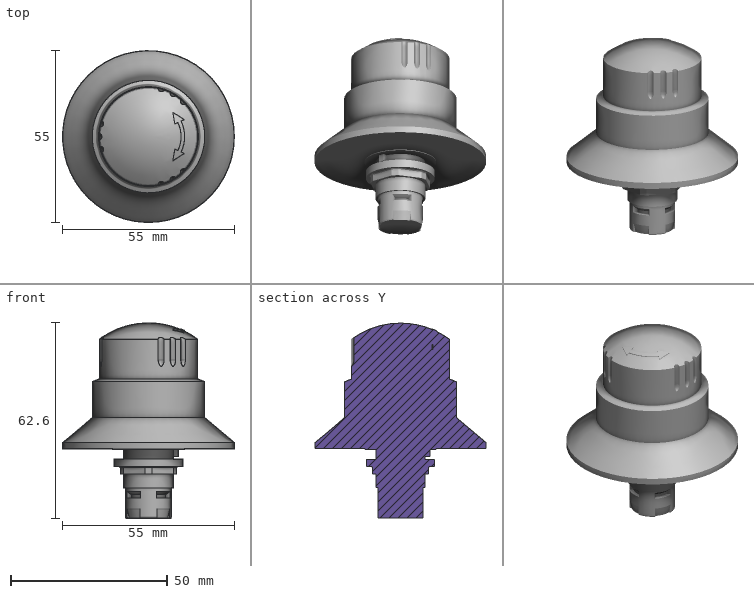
import cadquery as cq
import math

flange_top = 2.0
cone_top = 10.0
collar_bevel_start = 21.5
collar_top = 22.35
knob_edge = 35.1
dome_height = 5.05
gasket_bottom = -0.2
washer_top = -3.25
washer_bottom = -5.7
nut_bottom = -8.1
barrel_bottom = -12.5
tail_bottom = -22.2

flange_dia = 55.0
collar_dia = 36.0
collar_rim_dia = 32.0
knob_dia = 31.5
gasket_dia = 23.0
washer_dia = 22.0
barrel_dia = 16.0
tail_dia = 14.65
tail_core_dia = 12.1

knob_edge_width = 0.3
knob_edge_height = 0.2
tail_chamfer_width = 0.1
tail_chamfer_height = 0.36

nut_across_flats = 18.0
nut_across_cut_corners = 19.56
nut_flare_height = 0.3
nut_flare_angle = 45.0

key_reach = 9.54
key_width = 2.0
key_bottom = -2.45

groove_radius = 1.02
groove_axis_offset = 0.19
groove_length = 6.6
groove_tip_length = 2.3
groove_group_angles = (60, 180, 300)
groove_pitch_angle = 15

arrow_radius = 11.0
arrow_shaft_width = 1.13
arrow_head_width = 3.3
arrow_head_base_angle = 25.4
arrow_tip_angle = 45.0
arrow_height = 0.2

quadrant_angles = (0, 90, 180, 270)
slot_top = -13.55
slot_bottom = -15.65
slot_wall_offset = 2.55
slot_ceiling_drop = 1.1
notch_top = -19.2
notch_wall_offset = 2.7
notch_foot_radius = 6.7

dome_rim_radius = knob_dia / 2 - knob_edge_width
dome_rim_z = knob_edge + knob_edge_height
dome_top = dome_rim_z + dome_height
dome_sphere_radius = (dome_rim_radius**2 + dome_height**2) / (2 * dome_height)
dome_center_z = dome_top - dome_sphere_radius


def polar(radius, angle):
    """Point in the XY plane at a radius and an angle in degrees."""
    turn = math.radians(angle)
    return (radius * math.cos(turn), radius * math.sin(turn))


def ring_arc(sketch, radius, end_angle):
    """Continue an outline with an arc about Z that crosses +X and ends at end_angle."""
    return sketch.threePointArc((radius, 0), polar(radius, end_angle))


def turned_body():
    """Knob, collar, flange, gasket, washer, barrel and tail as one revolved outline."""
    dome_mid_radius = dome_rim_radius / 2
    dome_mid_z = dome_center_z + math.sqrt(dome_sphere_radius**2 - dome_mid_radius**2)
    tail_radius = tail_dia / 2
    outline = (
        cq.Workplane("XZ")
        .moveTo(0, tail_bottom)
        .lineTo(tail_radius - tail_chamfer_width, tail_bottom)
        .lineTo(tail_radius, tail_bottom + tail_chamfer_height)
        .lineTo(tail_radius, barrel_bottom)
        .lineTo(barrel_dia / 2, barrel_bottom)
        .lineTo(barrel_dia / 2, washer_bottom)
        .lineTo(washer_dia / 2, washer_bottom)
        .lineTo(washer_dia / 2, washer_top)
        .lineTo(barrel_dia / 2, washer_top)
        .lineTo(barrel_dia / 2, gasket_bottom)
        .lineTo(gasket_dia / 2, gasket_bottom)
        .lineTo(gasket_dia / 2, 0)
        .lineTo(flange_dia / 2, 0)
        .lineTo(flange_dia / 2, flange_top)
        .lineTo(collar_dia / 2, cone_top)
        .lineTo(collar_dia / 2, collar_bevel_start)
        .lineTo(collar_rim_dia / 2, collar_top)
        .lineTo(knob_dia / 2, collar_top)
        .lineTo(knob_dia / 2, knob_edge)
        .lineTo(dome_rim_radius, dome_rim_z)
        .threePointArc((dome_mid_radius, dome_mid_z), (0, dome_top))
        .close()
    )
    return outline.revolve(360, (0, 0, 0), (0, 1, 0))


def hexagon(across_flats, first_corner_angle, bottom, height, taper=0.0):
    """Hexagonal prism about Z."""
    corner_radius = across_flats / 2 / math.cos(math.pi / 6)
    corners = [polar(corner_radius, first_corner_angle + 60 * i) for i in range(6)]
    return cq.Workplane("XY").workplane(offset=bottom).polyline(corners).close().extrude(height, taper=taper)


def nut():
    """Hexagonal nut with flat-cut corners that flares out just under the washer."""
    height = washer_bottom - nut_bottom
    straight_height = height - nut_flare_height

    def stage(bottom, stage_height, taper):
        flats = hexagon(nut_across_flats, 30, bottom, stage_height, taper)
        corner_cuts = hexagon(nut_across_cut_corners, 0, bottom, stage_height, taper)
        return flats.intersect(corner_cuts)

    straight = stage(nut_bottom, straight_height, 0)
    flare = stage(nut_bottom + straight_height, nut_flare_height, -nut_flare_angle)
    return straight.union(flare)


def locating_key():
    """Block on the +X side of the barrel, hanging from the gasket."""
    block = cq.Workplane("XY").box(key_reach, key_width, -key_bottom, centered=(False, True, False))
    return block.translate((0, 0, key_bottom))


def grip_groove(angle):
    """Cutter for one round groove, open at the dome and pointed at its lower end."""
    shoulder_z = knob_edge - groove_length
    tip_z = shoulder_z - groove_tip_length
    ogive_radius = (groove_radius**2 + groove_tip_length**2) / (2 * groove_radius)
    ogive_half_angle = math.asin(groove_tip_length / ogive_radius) / 2
    ogive_mid = (
        groove_radius - ogive_radius * (1 - math.cos(ogive_half_angle)),
        shoulder_z - ogive_radius * math.sin(ogive_half_angle),
    )
    cutter = (
        cq.Workplane("XZ")
        .moveTo(0, dome_top)
        .lineTo(groove_radius, dome_top)
        .lineTo(groove_radius, shoulder_z)
        .threePointArc(ogive_mid, (0, tip_z))
        .close()
        .revolve(360, (0, 0, 0), (0, 1, 0))
    )
    x, y = polar(knob_dia / 2 + groove_axis_offset, angle)
    return cutter.translate((x, y, 0))


def dome_arrow():
    """Two-headed arrow curved about Z, following the dome and standing proud of it."""
    inner_shaft = arrow_radius - arrow_shaft_width / 2
    outer_shaft = arrow_radius + arrow_shaft_width / 2
    inner_head = arrow_radius - arrow_head_width / 2
    outer_head = arrow_radius + arrow_head_width / 2
    base = arrow_head_base_angle
    tip = arrow_tip_angle
    outline = cq.Workplane("XY").workplane(offset=knob_edge).moveTo(*polar(outer_shaft, -base))
    outline = ring_arc(outline, outer_shaft, base)
    outline = (
        outline.lineTo(*polar(outer_head, base))
        .lineTo(*polar(arrow_radius, tip))
        .lineTo(*polar(inner_head, base))
        .lineTo(*polar(inner_shaft, base))
    )
    outline = ring_arc(outline, inner_shaft, -base)
    outline = (
        outline.lineTo(*polar(inner_head, -base))
        .lineTo(*polar(arrow_radius, -tip))
        .lineTo(*polar(outer_head, -base))
        .close()
    )
    raised_dome = cq.Workplane("XY").sphere(dome_sphere_radius + arrow_height)
    raised_dome = raised_dome.translate((0, 0, dome_center_z))
    return outline.extrude(dome_height).intersect(raised_dome)


def tail_cutter(core_outline, wall_offset, angle):
    """Cutter for one quadrant, with walls parallel to the axes, that leaves a turned core.

    core_outline runs from the lowest to the highest (radius, z) point of the remaining core.
    """
    bottom = core_outline[0][1]
    top = core_outline[-1][1]
    core = (
        cq.Workplane("XZ")
        .polyline([(0, bottom), *core_outline, (0, top)])
        .close()
        .revolve(360, (0, 0, 0), (0, 1, 0))
    )
    block = cq.Workplane("XY").box(tail_dia, tail_dia, top - bottom, centered=False)
    return block.translate((wall_offset, wall_offset, bottom)).cut(core).rotate((0, 0, 0), (0, 0, 1), angle)


def build():
    part = turned_body().union(nut()).union(locating_key()).union(dome_arrow())
    for group_angle in groove_group_angles:
        for step in (-1, 0, 1):
            part = part.cut(grip_groove(group_angle + step * groove_pitch_angle))

    core_radius = tail_core_dia / 2
    slot_core = [
        (core_radius, slot_bottom),
        (core_radius, slot_top - slot_ceiling_drop),
        (tail_dia / 2, slot_top),
    ]
    notch_core = [(notch_foot_radius, tail_bottom), (tail_dia / 2, notch_top)]
    for angle in quadrant_angles:
        part = part.cut(tail_cutter(slot_core, slot_wall_offset, angle))
        part = part.cut(tail_cutter(notch_core, notch_wall_offset, angle))
    return part


result = build()